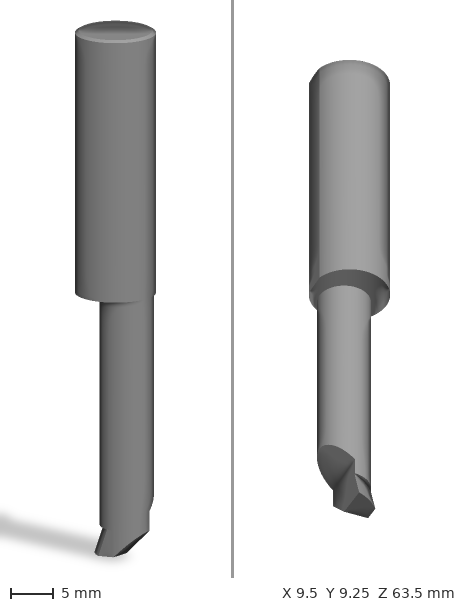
import cadquery as cq
import math

total_length = 63.5

shank_radius = 4.75
shank_bottom = 31.75
flat_y = 4.5
chamfer_width = 0.45
chamfer_height = 0.25

neck_radius = 3.2
neck_x = shank_radius - neck_radius

head_top = 3.75
tip_x = -2.8
flank_lean = 20.0
flank_arc_radius = 7.6
flank_run = 2.35
end_clearance = 4.0

ramp_bottom = 5.85
ramp_top = 8.7
end_bevel_top = 3.5

margin = 6.35


def make_shank():
    """Revolved shank with a chamfered top rim and a flat along its +Y side."""
    shank = (
        cq.Workplane("XZ")
        .moveTo(0, shank_bottom)
        .lineTo(shank_radius, shank_bottom)
        .lineTo(shank_radius, total_length - chamfer_height)
        .lineTo(shank_radius - chamfer_width, total_length)
        .lineTo(0, total_length)
        .close()
        .revolve(360, (0, 0, 0), (0, 1, 0))
    )
    flat_cutter = (
        cq.Workplane("XY")
        .box(2 * shank_radius, margin, total_length, centered=(True, False, False))
        .translate((0, flat_y, 0))
    )
    return shank.cut(flat_cutter)


def make_neck():
    """Round neck cut back to the y = 0 rake face, with its -X side open for the head."""
    neck = (
        cq.Workplane("XY")
        .center(neck_x, 0)
        .circle(neck_radius)
        .extrude(shank_bottom)
    )
    ramp_cutter = (
        cq.Workplane("YZ")
        .polyline([
            (0, 0),
            (0, ramp_bottom),
            (neck_radius, ramp_top),
            (neck_radius + margin, ramp_top),
            (neck_radius + margin, 0),
        ])
        .close()
        .extrude(2 * shank_radius, both=True)
    )
    head_space = (
        cq.Workplane("XY")
        .box(2 * neck_radius, 4 * neck_radius, head_top, centered=(False, True, False))
        .translate((neck_x - 2 * neck_radius, 0, 0))
    )
    return neck.cut(ramp_cutter).cut(head_space)


def make_head():
    """Hook on the -X side: a flat-backed blank trimmed by the leaning flank surface."""
    blank = (
        cq.Workplane("XY")
        .moveTo(tip_x, 0)
        .lineTo(tip_x, -neck_radius)
        .lineTo(neck_x, -neck_radius)
        .lineTo(neck_x, 0)
        .close()
        .extrude(head_top)
    )
    lean_run = head_top * math.tan(math.radians(flank_lean))

    def flank_profile(front_x):
        return (
            cq.Workplane("XY")
            .moveTo(front_x, 0)
            .radiusArc((front_x + flank_run, -neck_radius), -flank_arc_radius)
            .lineTo(shank_radius + margin, -neck_radius)
            .lineTo(shank_radius + margin, 0)
            .close()
            .val()
        )

    top_wire = flank_profile(tip_x + lean_run).moved(cq.Location(cq.Vector(0, 0, head_top)))
    bottom_wire = flank_profile(tip_x)
    flank_body = cq.Workplane(cq.Solid.makeLoft([bottom_wire, top_wire], True))
    return blank.intersect(flank_body)


def make_end_cutter():
    """Half-space below the end face, which passes through the tip."""
    rise = math.tan(math.radians(end_clearance))
    end_plane = cq.Plane(origin=(tip_x, 0, 0), xDir=(1, 0, rise), normal=(-rise, rise, 1))
    return cq.Workplane(end_plane).rect(4 * shank_radius, 4 * shank_radius).extrude(-margin)


def make_bevel_cutter():
    """Wedge outside the 45 degree bevel on the lower +X corner."""
    return (
        cq.Workplane("XZ")
        .polyline([
            (shank_radius - end_bevel_top, 0),
            (shank_radius, end_bevel_top),
            (shank_radius + margin, end_bevel_top),
            (shank_radius + margin, 0),
        ])
        .close()
        .extrude(2 * neck_radius, both=True)
    )


bar = make_shank().union(make_neck()).union(make_head())
result = bar.cut(make_end_cutter()).cut(make_bevel_cutter())